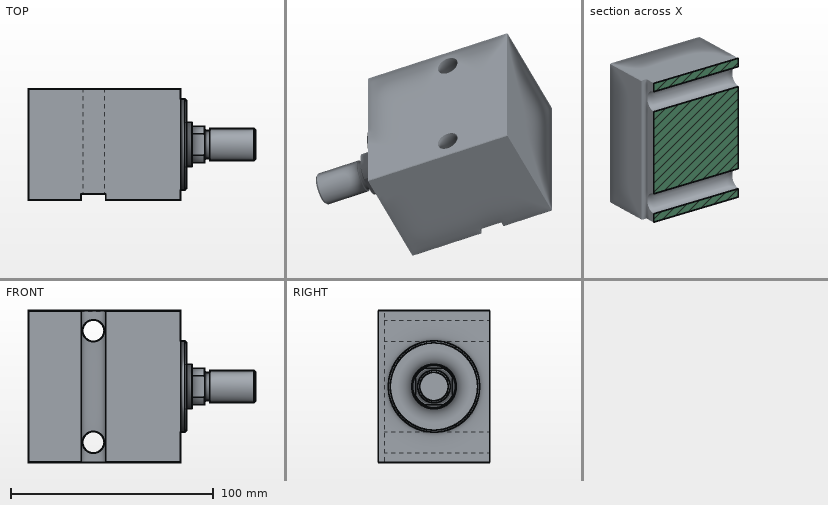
import cadquery as cq

HOUSING_LENGTH = 75.0
HOUSING_DEPTH = 55.0
HOUSING_HEIGHT = 75.0
HOUSING_CHAMFER = 0.3

GROOVE_X = 32.0
GROOVE_WIDTH = 12.0
GROOVE_DEPTH = 3.0
HOLE_DIAMETER = 10.5
HOLE_SPACING = 55.0

GLAND_DIAMETER = 45.0
GLAND_THICKNESS = 3.0
GLAND_CHAMFER = 1.0

ROD_DIAMETER = 22.0
ROD_STICKOUT = 2.8
ROD_CHAMFER = 0.5

OVERALL_LENGTH = 112.0
COLLAR_DIAMETER = 21.0
COLLAR_ACROSS_FLATS = 18.0
COLLAR_LENGTH = 6.2
COLLAR_CHAMFER = 0.3
NECK_DIAMETER = 14.0
NECK_LENGTH = 2.5
NECK_FILLET = 0.3
STUD_DIAMETER = 16.0
STUD_CHAMFER = 1.0

GLAND_END_X = HOUSING_LENGTH + GLAND_THICKNESS
ROD_END_X = GLAND_END_X + ROD_STICKOUT
COLLAR_END_X = ROD_END_X + COLLAR_LENGTH
STUD_START_X = COLLAR_END_X + NECK_LENGTH


def axial_cylinder(diameter, start_x, end_x):
    """Cylinder around the rod axis between two X stations."""
    return cq.Workplane("YZ", origin=(start_x, 0, 0)).circle(diameter / 2).extrude(end_x - start_x)


def make_housing():
    """Block with chamfered long edges, key groove and through holes along Y."""
    block = cq.Workplane("XY").box(HOUSING_LENGTH, HOUSING_DEPTH, HOUSING_HEIGHT)
    block = block.translate((HOUSING_LENGTH / 2, 0, 0)).edges("|X").chamfer(HOUSING_CHAMFER)

    groove = cq.Workplane("XY").box(GROOVE_WIDTH, 2 * GROOVE_DEPTH, HOUSING_HEIGHT)
    groove = groove.translate((GROOVE_X, -HOUSING_DEPTH / 2, 0))

    holes = (
        cq.Workplane("XZ", origin=(GROOVE_X, 0, 0))
        .pushPoints([(0, -HOLE_SPACING / 2), (0, HOLE_SPACING / 2)])
        .circle(HOLE_DIAMETER / 2)
        .extrude(HOUSING_DEPTH / 2, both=True)
    )
    return block.cut(groove).cut(holes)


def make_gland():
    """Ring with a chamfered outer rim and a bore that fits the rod."""
    disc = axial_cylinder(GLAND_DIAMETER, HOUSING_LENGTH, GLAND_END_X)
    bore = axial_cylinder(ROD_DIAMETER, HOUSING_LENGTH, GLAND_END_X)
    return disc.faces(">X").chamfer(GLAND_CHAMFER).cut(bore)


def make_rod():
    """Round rod through the gland, chamfered at its outer end."""
    return axial_cylinder(ROD_DIAMETER, HOUSING_LENGTH, ROD_END_X).faces(">X").chamfer(ROD_CHAMFER)


def make_rod_end():
    """Wrench collar, filleted relief neck and chamfered stud in one piece."""
    collar = axial_cylinder(COLLAR_DIAMETER, ROD_END_X, COLLAR_END_X)
    collar = collar.faces(">X").chamfer(COLLAR_CHAMFER)
    flats = cq.Workplane("YZ", origin=(ROD_END_X, 0, 0)).rect(COLLAR_ACROSS_FLATS, COLLAR_ACROSS_FLATS)
    collar = collar.intersect(flats.extrude(COLLAR_LENGTH))

    neck_radius = NECK_DIAMETER / 2
    shoulder_radius = neck_radius + NECK_FILLET
    neck = (
        cq.Workplane("XY")
        .moveTo(COLLAR_END_X, 0)
        .lineTo(COLLAR_END_X, shoulder_radius)
        .radiusArc((COLLAR_END_X + NECK_FILLET, neck_radius), -NECK_FILLET)
        .lineTo(STUD_START_X - NECK_FILLET, neck_radius)
        .radiusArc((STUD_START_X, shoulder_radius), -NECK_FILLET)
        .lineTo(STUD_START_X, 0)
        .close()
        .revolve(360, (0, 0, 0), (1, 0, 0))
    )

    stud = axial_cylinder(STUD_DIAMETER, STUD_START_X, OVERALL_LENGTH).faces(">X").chamfer(STUD_CHAMFER)
    return collar.union(neck).union(stud)


housing = make_housing()
gland = make_gland()
rod = make_rod()
rod_end = make_rod_end()

result = cq.Compound.makeCompound([housing.val(), gland.val(), rod.val(), rod_end.val()])